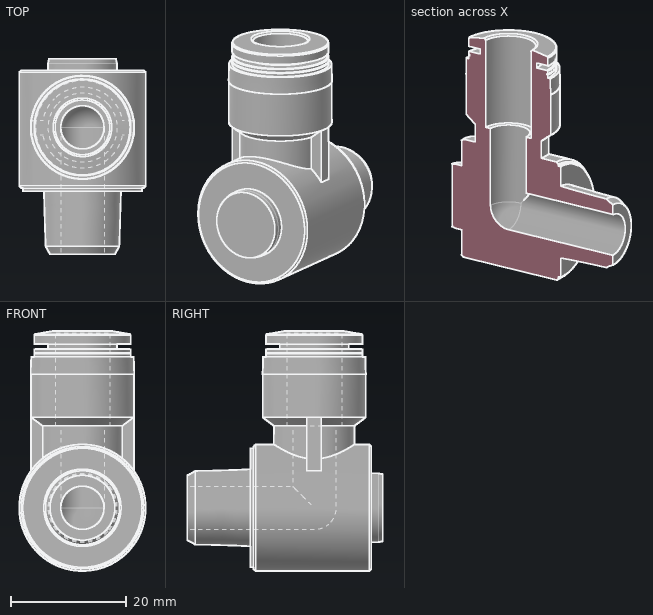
import cadquery as cq


overall_height = 41.7

body_radius = 22.0 / 2
body_back = 9.92
body_front = -10.55
body_chamfer = 0.38
flange_radius = 20.7 / 2
flange_front = -11.1

boss_radius = 12.0 / 2
boss_back = 11.93
boss_bevel_length = 0.85
boss_bevel_depth = 0.15

stem_root_radius = 13.43 / 2
stem_end_radius = 12.85 / 2
stem_tip_radius = 11.25 / 2
stem_front = -22.05
stem_bevel_length = 1.4

neck_radius = 14.05 / 2
neck_top = 14.2
sleeve_bottom = 15.7
sleeve_seam = 23.2
sleeve_top = 26.2
sleeve_radius = 17.95 / 2
sleeve_seam_radius = 18.0 / 2
sleeve_top_radius = 17.85 / 2

collar_radius = 16.8 / 2
ring_top = 27.55
ring_bevel_width = 0.25
ring_bevel_drop = 0.1
ring_groove_height = 26.8
ring_groove_width = 0.13
ring_groove_depth = 0.2
collar_neck_radius = 12.0 / 2
collar_bottom = 28.4
collar_top = overall_height - body_radius
collar_rim_height = 29.9
collar_crown_height = 30.15
collar_crown_radius = 16.55 / 2

rib_thickness = 2.5
rib_span = 2 * sleeve_radius

bore_radius = 7.5 / 2
socket_bore_radius = 9.5 / 2
socket_mouth_radius = 10.17 / 2
socket_floor = neck_top


def revolve_about_y(outline):
    """Turn a closed (radius, y) outline about the Y axis."""
    return cq.Workplane("XY").polyline(outline).close().revolve(360, (0, 0), (0, 1))


def revolve_about_z(outline):
    """Turn a closed (radius, z) outline about the Z axis."""
    return cq.Workplane("XZ").polyline(outline).close().revolve(360, (0, 0), (0, 1))


def make_body():
    """Body with its rear boss, front flange and tapered stem."""
    return revolve_about_y([
        (0, boss_back),
        (boss_radius - boss_bevel_depth, boss_back),
        (boss_radius, boss_back - boss_bevel_length),
        (boss_radius, body_back),
        (body_radius - body_chamfer, body_back),
        (body_radius, body_back - body_chamfer),
        (body_radius, body_front + body_chamfer),
        (body_radius - body_chamfer, body_front),
        (flange_radius, body_front),
        (flange_radius, flange_front),
        (stem_root_radius, flange_front),
        (stem_end_radius, stem_front + stem_bevel_length),
        (stem_tip_radius, stem_front),
        (0, stem_front),
    ])


def make_socket():
    """Neck, flared sleeve, grooved ring and release collar."""
    return revolve_about_z([
        (0, 0),
        (neck_radius, 0),
        (neck_radius, neck_top),
        (sleeve_radius, sleeve_bottom),
        (sleeve_radius, sleeve_seam),
        (sleeve_seam_radius, sleeve_seam),
        (sleeve_top_radius, sleeve_top),
        (collar_radius, sleeve_top),
        (collar_radius, ring_groove_height - ring_groove_width / 2),
        (collar_radius - ring_groove_depth, ring_groove_height - ring_groove_width / 2),
        (collar_radius - ring_groove_depth, ring_groove_height + ring_groove_width / 2),
        (collar_radius, ring_groove_height + ring_groove_width / 2),
        (collar_radius, ring_top - ring_bevel_drop),
        (collar_radius - ring_bevel_width, ring_top),
        (collar_neck_radius, ring_top),
        (collar_neck_radius, collar_bottom),
        (collar_radius, collar_bottom),
        (collar_radius, collar_rim_height),
        (collar_crown_radius, collar_crown_height),
        (socket_mouth_radius, collar_top),
        (0, collar_top),
    ])


def make_ribs():
    """One plate through the neck forms the rib on each side."""
    return cq.Workplane("XY").rect(rib_span, rib_thickness).extrude(sleeve_bottom)


def make_passage():
    """Elbow passage with a round corner and a wider bevelled tube bore."""
    stem_bore = cq.Workplane("XZ").circle(bore_radius).extrude(-stem_front)
    corner = cq.Workplane("XY").sphere(bore_radius)
    mouth_bevel = socket_mouth_radius - socket_bore_radius
    upright_bore = revolve_about_z([
        (0, 0),
        (bore_radius, 0),
        (bore_radius, socket_floor),
        (socket_bore_radius, socket_floor),
        (socket_bore_radius, collar_top - mouth_bevel),
        (socket_mouth_radius, collar_top),
        (0, collar_top),
    ])
    return stem_bore.union(corner).union(upright_bore)


result = make_body().union(make_socket()).union(make_ribs()).cut(make_passage())